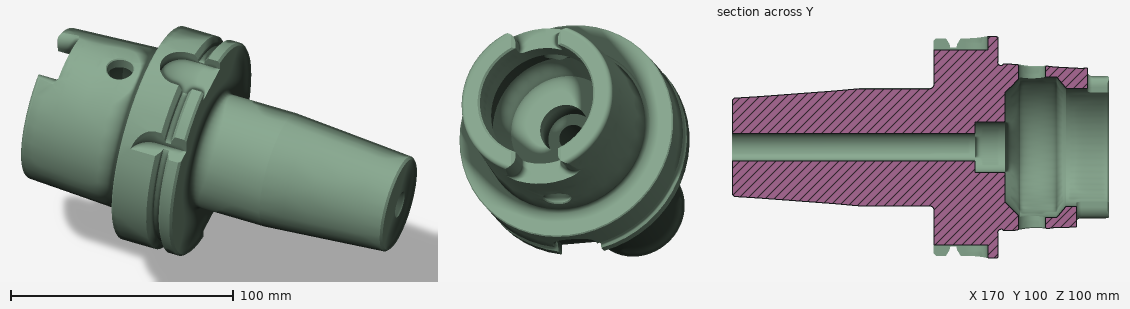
import cadquery as cq
import math

total_length = 170.0

shank_end_radius = 35.4
shank_base_radius = 37.7
shank_base_x = 47.6
shank_end_fillet = 2.0

undercut_radius = 37.0
undercut_outer_radius = 39.1
undercut_lead = 0.7
undercut_arc_radius = 1.28

flange_start_x = 50.0
flange_end_x = 79.0
flange_radius = 50.0
flange_chamfer = 0.5
flange_rear_chamfer = 1.0
groove_center_x = 70.2
groove_radius = 45.9
groove_mouth_width = 6.6
groove_foot_width = 3.4
groove_foot_radius = 47.5
groove_bottom_width = 2.7

neck_radius = 26.5
neck_fillet = 2.0
nose_start_x = 112.5
nose_end_radius = 22.3
nose_chamfer = 1.0

mouth_radius = 26.5
mouth_chamfer = 0.8
mouth_length = 19.5
clamp_shoulder_angle = 50.0
cavity_radius = 63.0 / 2
cavity_floor_radius = 24.8
cavity_end_x = 40.1
cavity_floor_angle = 45.0
cavity_floor_x = cavity_end_x + (cavity_radius - cavity_floor_radius) / math.tan(
    math.radians(cavity_floor_angle)
)
thread_bore_diameter = 22.5
thread_bore_depth = 13.6
through_bore_diameter = 12.0

slot_width = 19.9
slot_flare_radius = 5.0
flare_shank_radius = 35.9
slot_floor_fillet = 2.0
upper_slot_depth = 9.9
lower_slot_depth = 14.8
slot_mouth_widening = 1.7
slot_mouth_depth = 0.8

access_hole_x = 34.8
access_hole_diameter = 12.0
access_hole_chamfer = 0.5

keyway_width = 19.9
keyway_tip_x = 54.7
keyway_floor_z = 44.0
notch_floor_z = 31.3
notch_wall_y = -31.5


def turned_body():
    groove_mouth_left = groove_center_x - groove_mouth_width / 2
    groove_mouth_right = groove_center_x + groove_mouth_width / 2
    groove_foot_left = groove_center_x - groove_foot_width / 2
    groove_foot_right = groove_center_x + groove_foot_width / 2
    groove_bottom_left = groove_center_x - groove_bottom_width / 2
    groove_bottom_right = groove_center_x + groove_bottom_width / 2
    diagonal = math.sqrt(0.5)
    fillet_center_x = flange_end_x + neck_fillet
    fillet_center_r = neck_radius + neck_fillet
    fillet_mid = (fillet_center_x - neck_fillet * diagonal, fillet_center_r - neck_fillet * diagonal)
    undercut_arc_r = undercut_radius + undercut_arc_radius
    undercut_rise = undercut_outer_radius - undercut_arc_r
    undercut_arc_x = flange_start_x - math.sqrt(undercut_arc_radius**2 - undercut_rise**2)
    undercut_mid = (
        undercut_arc_x + undercut_arc_radius * diagonal,
        undercut_arc_r - undercut_arc_radius * diagonal,
    )
    end_fillet_mid = (
        shank_end_fillet * (1 - diagonal),
        shank_end_radius - shank_end_fillet * (1 - diagonal),
    )
    profile = (
        cq.Workplane("XY")
        .lineTo(0, shank_end_radius - shank_end_fillet)
        .threePointArc(end_fillet_mid, (shank_end_fillet, shank_end_radius))
        .lineTo(shank_base_x, shank_base_radius)
        .lineTo(shank_base_x + undercut_lead, undercut_radius)
        .lineTo(undercut_arc_x, undercut_radius)
        .threePointArc(undercut_mid, (flange_start_x, undercut_outer_radius))
        .lineTo(flange_start_x, flange_radius - flange_chamfer)
        .lineTo(flange_start_x + flange_chamfer, flange_radius)
        .lineTo(groove_mouth_left, flange_radius)
        .lineTo(groove_foot_left, groove_foot_radius)
        .lineTo(groove_bottom_left, groove_radius)
        .lineTo(groove_bottom_right, groove_radius)
        .lineTo(groove_foot_right, groove_foot_radius)
        .lineTo(groove_mouth_right, flange_radius)
        .lineTo(flange_end_x - flange_rear_chamfer, flange_radius)
        .lineTo(flange_end_x, flange_radius - flange_rear_chamfer)
        .lineTo(flange_end_x, fillet_center_r)
        .threePointArc(fillet_mid, (fillet_center_x, neck_radius))
        .lineTo(nose_start_x, neck_radius)
        .lineTo(total_length - nose_chamfer, nose_end_radius)
        .lineTo(total_length, nose_end_radius - nose_chamfer)
        .lineTo(total_length, 0)
        .close()
    )
    return profile.revolve(360, (0, 0, 0), (1, 0, 0))


def inner_cavity():
    shoulder_length = (cavity_radius - mouth_radius) / math.tan(math.radians(clamp_shoulder_angle))
    profile = (
        cq.Workplane("XY")
        .lineTo(0, mouth_radius + mouth_chamfer)
        .lineTo(mouth_chamfer, mouth_radius)
        .lineTo(mouth_length, mouth_radius)
        .lineTo(mouth_length + shoulder_length, cavity_radius)
        .lineTo(cavity_end_x, cavity_radius)
        .lineTo(cavity_floor_x, cavity_floor_radius)
        .lineTo(cavity_floor_x, 0)
        .close()
    )
    return profile.revolve(360, (0, 0, 0), (1, 0, 0))


def axial_bore(diameter, start_x, length):
    return cq.Workplane("YZ").workplane(offset=start_x).circle(diameter / 2).extrude(length)


def drive_slot(depth):
    """Slot on the +Z side; the flares roll over tangent to the shank surface."""
    half_width = slot_width / 2
    flare_center_y = half_width + slot_flare_radius
    flare_center_z = math.sqrt((flare_shank_radius - slot_flare_radius) ** 2 - flare_center_y**2)
    flare_scale = flare_shank_radius / (flare_shank_radius - slot_flare_radius)
    flare_end = (flare_center_y * flare_scale, flare_center_z * flare_scale)
    flare_mid_y = flare_center_y - slot_flare_radius * math.sqrt(0.5)
    flare_mid_z = flare_center_z + slot_flare_radius * math.sqrt(0.5)
    side_y = flare_end[0] + 2 * slot_floor_fillet
    top_z = flare_shank_radius + slot_flare_radius
    slot = (
        cq.Workplane("YZ")
        .moveTo(-half_width, 0)
        .lineTo(half_width, 0)
        .lineTo(half_width, flare_center_z)
        .threePointArc((flare_mid_y, flare_mid_z), flare_end)
        .lineTo(side_y, flare_end[1])
        .lineTo(side_y, top_z)
        .lineTo(-side_y, top_z)
        .lineTo(-side_y, flare_end[1])
        .lineTo(-flare_end[0], flare_end[1])
        .threePointArc((-flare_mid_y, flare_mid_z), (-half_width, flare_center_z))
        .close()
        .extrude(depth)
    )
    margin = 0.2
    wall_foot_edges = cq.selectors.BoxSelector(
        (depth - margin, margin - flare_end[0], margin),
        (depth + margin, flare_end[0] - margin, top_z - margin),
    )
    return slot.edges(wall_foot_edges).fillet(slot_floor_fillet)


def slot_mouth():
    """Bevel of the slot walls at the shank end face."""
    half_width = slot_width / 2
    return (
        cq.Workplane("XY")
        .moveTo(0, half_width + slot_mouth_widening)
        .lineTo(slot_mouth_depth, half_width)
        .lineTo(slot_mouth_depth, -half_width)
        .lineTo(0, -half_width - slot_mouth_widening)
        .close()
        .extrude(shank_base_radius)
    )


def round_nosed_cutter(center_y, floor_z):
    """Milled channel with a vertical tool: round at its tip, open at the rear of the flange."""
    radius = keyway_width / 2
    arc_center_x = keyway_tip_x + radius
    return (
        cq.Workplane("XY")
        .workplane(offset=floor_z)
        .moveTo(flange_end_x, center_y - radius)
        .lineTo(arc_center_x, center_y - radius)
        .threePointArc((keyway_tip_x, center_y), (arc_center_x, center_y + radius))
        .lineTo(flange_end_x, center_y + radius)
        .close()
        .extrude(flange_radius)
    )


def below(shape):
    """The same cutter turned half a turn about the part axis."""
    return shape.rotate((0, 0, 0), (1, 0, 0), 180)


def drill_access_holes(body):
    """Cross hole through both shank walls, chamfered where it breaks the outer surface."""
    radius = access_hole_diameter / 2
    drill = (
        cq.Workplane("XY")
        .center(access_hole_x, 0)
        .circle(radius)
        .extrude(flange_radius, both=True)
    )
    drilled = body.cut(drill)
    for inner_z, outer_z in ((cavity_radius, flange_radius), (-flange_radius, -cavity_radius)):
        rim = cq.selectors.BoxSelector(
            (access_hole_x - radius, -radius, inner_z),
            (access_hole_x + radius, radius, outer_z),
        )
        drilled = drilled.edges(rim).chamfer(access_hole_chamfer)
    return drilled


keyway = round_nosed_cutter(0, keyway_floor_z)
corner_notch = round_nosed_cutter(notch_wall_y - keyway_width / 2, notch_floor_z)

body = (
    turned_body()
    .cut(inner_cavity())
    .cut(axial_bore(thread_bore_diameter, cavity_floor_x, thread_bore_depth))
    .cut(axial_bore(through_bore_diameter, cavity_floor_x, total_length - cavity_floor_x))
    .cut(drive_slot(upper_slot_depth))
    .cut(below(drive_slot(lower_slot_depth)))
    .cut(slot_mouth())
    .cut(below(slot_mouth()))
    .cut(keyway)
    .cut(below(keyway))
    .cut(corner_notch)
)

result = drill_access_holes(body)